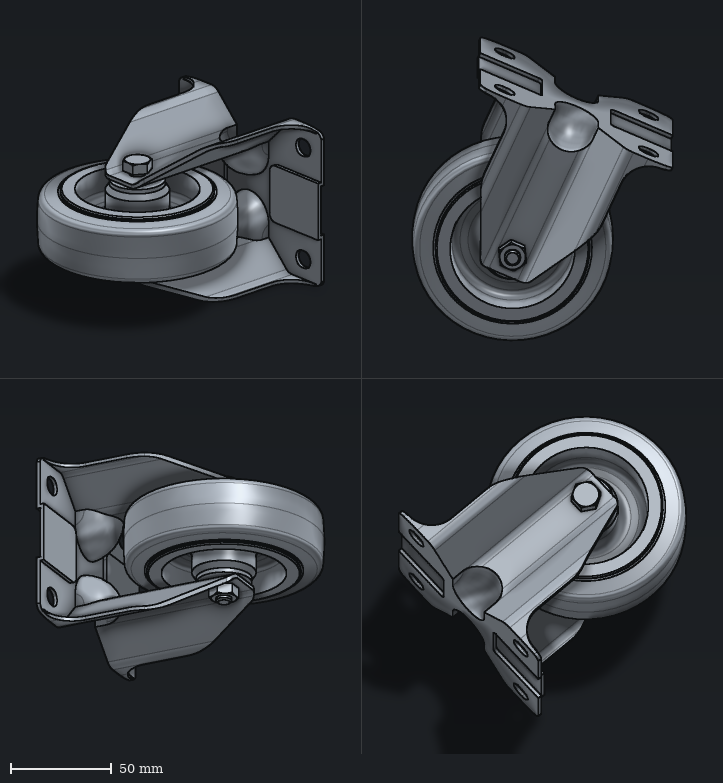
import cadquery as cq
import math


WHEEL_RADIUS = 50.0
TREAD_EDGE_RADIUS = 49.5
TREAD_HALF_WIDTH = 11.3
TYRE_CORNER = 3.2
SIDE_INNER_RADIUS = 39.5
SIDE_INNER_HALF_WIDTH = 15.4
RIM_RADIUS = 38.4
RIM_HALF_WIDTH = 17.0
RIM_STEP_HALF_WIDTH = 15.6
RIM_CHAMFER = 0.8
DISH_RADIUS = 31.1
DISH_BOTTOM_RADIUS = 30.2
DISH_OUTER_FILLET = 4.0
DISH_HUB_FILLET = 6.3
WEB_HALF_THICKNESS = 1.8
HUB_ROOT_RADIUS = 16.0
HUB_RADIUS = 14.0
HUB_CONE_BOTTOM = 16.6
HUB_CONE_TOP = 19.8
HUB_HALF_LENGTH = 22.1
SPACER_RADIUS = 6.3

SHEET = 2.0
BEND_INNER_RADIUS = 5.5
BEND_OUTER_RADIUS = BEND_INNER_RADIUS + SHEET
BEND_ANGLE = math.radians(45)
PLATE_Y = 78.0
PLATE_HALF_WIDTH = 52.5
PLATE_HALF_HEIGHT = 42.5
LEG_OUTER_Z = 25.0
LEG_INNER_Z = LEG_OUTER_Z - SHEET
LEG_FLAT_HALF_WIDTH = 7.8
LEG_HALF_WIDTH = 32.1
LEG_END_Y = -11.8
LEG_END_HALF_WIDTH = 12.3
LEG_TAPER_START_Y = 33.3
LEG_TAPER_FILLET = 21.8
LEG_END_FILLET = 5.8
FLARE_RADIUS = 14.6
FLARE_HALF_WIDTH = 49.0
FLARE_LIP = 0.3
FLANGE_FLAT_END_X = 38.7
FLARE_EDGE_Z = 41.5
PLATE_CORNER_Z = 38.3

HOLE_X = 39.2
HOLE_Z = 30.0
HOLE_LENGTH = 10.6
HOLE_WIDTH = 9.1
PAD_INNER_X = 16.6
PAD_HALF_HEIGHT = 15.2
RECESS_CORNER = SHEET
PAD_CORNER = RECESS_CORNER + SHEET
DOME_TUBE_RADIUS = 11.8
DOME_RING_RADIUS = 6.7

BOLT_RADIUS = 4.0
HEX_FLATS = 12.9
HEX_HEIGHT = 5.5
HEAD_TOP_Z = 32.8
BOLT_END_Z = -32.6
BOLT_END_CHAMFER = 0.9
HEX_CHAMFER_ANGLE = math.radians(30)


def wheel_body():
    """Tyre, dished rim and hub revolved about Z, with a bore for the bolt."""
    dish_side_z = WEB_HALF_THICKNESS + DISH_OUTER_FILLET
    hub_side_z = WEB_HALF_THICKNESS + DISH_HUB_FILLET
    dish_floor_outer = DISH_BOTTOM_RADIUS - DISH_OUTER_FILLET
    dish_floor_inner = HUB_ROOT_RADIUS + DISH_HUB_FILLET
    corner_rise = TYRE_CORNER * (1 - math.cos(math.radians(45)))
    corner_middle = (TREAD_EDGE_RADIUS - corner_rise, TREAD_HALF_WIDTH + TYRE_CORNER - corner_rise)
    crown_drop = WHEEL_RADIUS - TREAD_EDGE_RADIUS
    crown_middle = (WHEEL_RADIUS - crown_drop / 4, TREAD_HALF_WIDTH / 2)
    half = (
        cq.Workplane("XZ")
        .moveTo(BOLT_RADIUS, 0)
        .lineTo(BOLT_RADIUS, LEG_INNER_Z)
        .lineTo(SPACER_RADIUS, LEG_INNER_Z)
        .lineTo(SPACER_RADIUS, HUB_HALF_LENGTH)
        .lineTo(HUB_RADIUS, HUB_HALF_LENGTH)
        .lineTo(HUB_RADIUS, HUB_CONE_TOP)
        .lineTo(HUB_ROOT_RADIUS, HUB_CONE_BOTTOM)
        .lineTo(HUB_ROOT_RADIUS, hub_side_z)
        .tangentArcPoint((dish_floor_inner, WEB_HALF_THICKNESS), relative=False)
        .lineTo(dish_floor_outer, WEB_HALF_THICKNESS)
        .tangentArcPoint((DISH_BOTTOM_RADIUS, dish_side_z), relative=False)
        .lineTo(DISH_RADIUS, RIM_HALF_WIDTH)
        .lineTo(RIM_RADIUS - RIM_CHAMFER, RIM_HALF_WIDTH)
        .lineTo(RIM_RADIUS, RIM_HALF_WIDTH - RIM_CHAMFER)
        .lineTo(RIM_RADIUS, RIM_STEP_HALF_WIDTH)
        .lineTo(SIDE_INNER_RADIUS, RIM_STEP_HALF_WIDTH)
        .lineTo(SIDE_INNER_RADIUS, SIDE_INNER_HALF_WIDTH)
        .lineTo(TREAD_EDGE_RADIUS - TYRE_CORNER, TREAD_HALF_WIDTH + TYRE_CORNER)
        .threePointArc(corner_middle, (TREAD_EDGE_RADIUS, TREAD_HALF_WIDTH))
        .threePointArc(crown_middle, (WHEEL_RADIUS, 0))
        .lineTo(BOLT_RADIUS, 0)
        .close()
        .revolve(360, (0, 0, 0), (0, 1, 0))
    )
    return half.union(half.mirror("XY"))


def channel_side(start, inner_bend, outer_bend, flat_z, flange_z):
    """Draw one face of the leg section from the flat leg out to the flange.

    inner_bend is the radius beside the flat leg, outer_bend the one beside the
    flange, both as measured on the face being drawn.
    """
    sine = math.sin(BEND_ANGLE)
    drop = 1 - math.cos(BEND_ANGLE)
    slope_start = (LEG_FLAT_HALF_WIDTH + inner_bend * sine, flat_z + inner_bend * drop)
    slope_end_z = flange_z - outer_bend * drop
    slope_end_x = slope_start[0] + (slope_end_z - slope_start[1]) / math.tan(BEND_ANGLE)
    return (
        start.moveTo(0, 0)
        .lineTo(0, flat_z)
        .lineTo(LEG_FLAT_HALF_WIDTH, flat_z)
        .tangentArcPoint(slope_start, relative=False)
        .lineTo(slope_end_x, slope_end_z)
        .tangentArcPoint((slope_end_x + outer_bend * sine, flange_z), relative=False)
    )


def outer_block(length):
    """Upper half of the plate outline, extruded forward from the rear face."""
    rear = cq.Workplane("XZ", origin=(0, PLATE_Y, 0))
    half = (
        channel_side(rear, BEND_INNER_RADIUS, BEND_OUTER_RADIUS, LEG_OUTER_Z, PLATE_HALF_HEIGHT)
        .lineTo(FLANGE_FLAT_END_X, PLATE_HALF_HEIGHT)
        .tangentArcPoint((FLARE_HALF_WIDTH, FLARE_EDGE_Z), relative=False)
        .tangentArcPoint((PLATE_HALF_WIDTH, PLATE_CORNER_Z), relative=False)
        .lineTo(PLATE_HALF_WIDTH, 0)
        .close()
        .extrude(length)
    )
    return half.union(half.mirror("YZ"))


def inner_block(length):
    """Space below the upper leg, bounded by the underside of its sheet."""
    rear = cq.Workplane("XZ", origin=(0, PLATE_Y, 0))
    half = (
        channel_side(rear, BEND_OUTER_RADIUS, BEND_INNER_RADIUS, LEG_INNER_Z, PLATE_HALF_HEIGHT - SHEET)
        .lineTo(PLATE_HALF_WIDTH, PLATE_HALF_HEIGHT - SHEET)
        .lineTo(PLATE_HALF_WIDTH, 0)
        .close()
        .extrude(length)
    )
    return half.union(half.mirror("YZ"))


def leg_planform():
    """Outline of a leg looking along Z: flared root, straight sides, tapered end."""
    flare_top_y = PLATE_Y - SHEET - FLARE_LIP
    flare_end_y = flare_top_y - FLARE_RADIUS
    half = (
        cq.Workplane("XY")
        .moveTo(0, PLATE_Y)
        .lineTo(FLARE_HALF_WIDTH, PLATE_Y)
        .lineTo(FLARE_HALF_WIDTH, flare_top_y)
        .lineTo(LEG_HALF_WIDTH + FLARE_RADIUS, flare_top_y)
        .tangentArcPoint((LEG_HALF_WIDTH, flare_end_y), relative=False)
        .lineTo(LEG_HALF_WIDTH, LEG_TAPER_START_Y)
        .lineTo(LEG_END_HALF_WIDTH, LEG_END_Y)
        .lineTo(0, LEG_END_Y)
        .close()
        .extrude(PLATE_HALF_HEIGHT)
    )
    taper_corner = (LEG_HALF_WIDTH, LEG_TAPER_START_Y, PLATE_HALF_HEIGHT / 2)
    end_corner = (LEG_END_HALF_WIDTH, LEG_END_Y, PLATE_HALF_HEIGHT / 2)
    half = half.edges(cq.NearestToPointSelector(taper_corner)).fillet(LEG_TAPER_FILLET)
    half = half.edges(cq.NearestToPointSelector(end_corner)).fillet(LEG_END_FILLET)
    return half.union(half.mirror("YZ"))


def dome(tube_radius):
    """Ring-shaped dome about an X axis where the leg meets the plate's rear face."""
    return (
        cq.Workplane("XY", origin=(0, PLATE_Y, LEG_OUTER_Z))
        .moveTo(-tube_radius, 0)
        .lineTo(-tube_radius, -DOME_RING_RADIUS)
        .threePointArc((0, -DOME_RING_RADIUS - tube_radius), (tube_radius, -DOME_RING_RADIUS))
        .lineTo(tube_radius, 0)
        .close()
        .revolve(360, (0, 0, 0), (1, 0, 0))
    )


def side_panel(inner_x, half_height, corner, rear_y):
    """One-sheet-thick panel from inner_x to the plate edge, rounded at inner_x."""
    width = PLATE_HALF_WIDTH - inner_x
    return (
        cq.Workplane("XZ", origin=(inner_x + width / 2, rear_y, 0))
        .rect(width, 2 * half_height)
        .extrude(SHEET)
        .edges("|Y and <X")
        .fillet(corner)
    )


def bracket_body():
    """Mounting plate and two channel-shaped legs pressed from one sheet."""
    leg_length = PLATE_Y - LEG_END_Y
    envelope = outer_block(leg_length)
    leg = envelope.cut(inner_block(leg_length)).intersect(leg_planform())
    half = leg.union(outer_block(SHEET))

    half = half.union(dome(DOME_TUBE_RADIUS + SHEET).intersect(envelope))
    half = half.cut(dome(DOME_TUBE_RADIUS))
    body = half.union(half.mirror("XY"))

    pad = side_panel(PAD_INNER_X, PAD_HALF_HEIGHT, PAD_CORNER, PLATE_Y - SHEET)
    recess = side_panel(PAD_INNER_X + SHEET, PAD_HALF_HEIGHT - SHEET, RECESS_CORNER, PLATE_Y)
    body = body.union(pad).union(pad.mirror("YZ"))
    body = body.cut(recess).cut(recess.mirror("YZ"))

    slots = (
        cq.Workplane("XZ", origin=(0, PLATE_Y, 0))
        .rect(2 * HOLE_X, 2 * HOLE_Z, forConstruction=True)
        .vertices()
        .slot2D(HOLE_LENGTH, HOLE_WIDTH)
        .extrude(SHEET)
    )
    bolt_hole = cq.Workplane("XY").circle(BOLT_RADIUS).extrude(PLATE_HALF_HEIGHT, both=True)
    return body.cut(slots).cut(bolt_hole)


def hexagon(bottom_z):
    """Hexagon with two corners on the X axis."""
    corner_diameter = HEX_FLATS / math.cos(math.radians(30))
    return cq.Workplane("XY").workplane(offset=bottom_z).polygon(6, corner_diameter).extrude(HEX_HEIGHT)


def corner_trim():
    """Upright blank whose conical top edge trims the corners of a hexagon."""
    corner_radius = HEX_FLATS / 2 / math.cos(math.radians(30))
    flat_radius = HEX_FLATS / 2
    trim_depth = (corner_radius - flat_radius) * math.tan(HEX_CHAMFER_ANGLE)
    return (
        cq.Workplane("XZ")
        .moveTo(0, 0)
        .lineTo(corner_radius, 0)
        .lineTo(corner_radius, HEX_HEIGHT - trim_depth)
        .lineTo(flat_radius, HEX_HEIGHT)
        .lineTo(0, HEX_HEIGHT)
        .close()
        .revolve(360, (0, 0, 0), (0, 1, 0))
    )


def bolt_body():
    """Axle bolt with its hexagon head on top and its nut below the lower leg."""
    head_bottom_z = HEAD_TOP_Z - HEX_HEIGHT
    nut_bottom_z = -LEG_OUTER_Z - HEX_HEIGHT
    shank = (
        cq.Workplane("XY")
        .workplane(offset=BOLT_END_Z)
        .circle(BOLT_RADIUS)
        .extrude(HEAD_TOP_Z - BOLT_END_Z)
        .faces("<Z")
        .chamfer(BOLT_END_CHAMFER)
    )
    trim = corner_trim()
    head = hexagon(head_bottom_z).intersect(trim.translate((0, 0, head_bottom_z)))
    nut = hexagon(nut_bottom_z).intersect(trim.mirror("XY").translate((0, 0, -LEG_OUTER_Z)))
    return shank.union(head).union(nut)


wheel = wheel_body()
bracket = bracket_body()
bolt = bolt_body()

result = cq.Compound.makeCompound([bracket.val(), wheel.val(), bolt.val()])